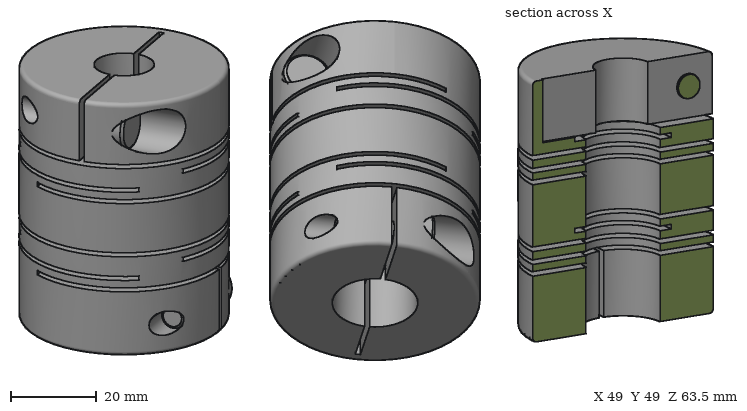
import cadquery as cq

HEIGHT = 63.5
OUTER_DIAMETER = 49.0
OUTER_RADIUS = OUTER_DIAMETER / 2
RIM_FILLET = 1.1

UPPER_BORE_DIAMETER = 14.05
LOWER_BORE_DIAMETER = 19.95

SLIT_HEIGHT = 1.0
SLIT_END_OFFSET = 12.95
FIRST_SLIT_Z = 47.75
OPPOSED_SLIT_PITCH = 2.85
SLIT_PAIR_PITCH = 6.0
SLIT_GROUP_PITCH = 22.2
GROUP_COUNT = 2
SLIT_BOX_SIZE = 2 * OUTER_DIAMETER

CLAMP_SLOT_WIDTH = 1.2
CLAMP_SLOT_END = 21.6
SCREW_OFFSET = 17.9
SCREW_END_DISTANCE = 7.5
SHANK_RADIUS = 3.0
TIP_CHAMFER = 0.65
TIP_POSITION = -12.7
HEAD_RADIUS = 5.5
HEAD_LENGTH = 6.0
HEAD_TOP_POSITION = 9.9
HEAD_CHAMFER = 0.65

last_slit_z = (
    FIRST_SLIT_Z
    - (GROUP_COUNT - 1) * SLIT_GROUP_PITCH
    - SLIT_PAIR_PITCH
    - OPPOSED_SLIT_PITCH
)
upper_hub_bottom = FIRST_SLIT_Z + SLIT_HEIGHT / 2
lower_hub_top = last_slit_z - SLIT_HEIGHT / 2
head_seat_x = HEAD_TOP_POSITION - HEAD_LENGTH


def body():
    """Rounded cylinder with a small upper bore and a larger bore below it."""
    cylinder = cq.Workplane("XY").circle(OUTER_RADIUS).extrude(HEIGHT).edges().fillet(RIM_FILLET)
    upper_bore = cq.Workplane("XY").circle(UPPER_BORE_DIAMETER / 2).extrude(HEIGHT)
    lower_bore = cq.Workplane("XY").circle(LOWER_BORE_DIAMETER / 2).extrude(upper_hub_bottom)
    return cylinder.cut(upper_bore).cut(lower_bore)


def slit(z, open_angle):
    """Slit open toward open_angle, ending in a flat on the far side of the axis."""
    return (
        cq.Workplane("XY")
        .box(SLIT_BOX_SIZE, SLIT_BOX_SIZE, SLIT_HEIGHT, centered=(False, True, True))
        .translate((-SLIT_END_OFFSET, 0, z))
        .rotate((0, 0, 0), (0, 0, 1), open_angle)
    )


def slit_group(top_z):
    """Slits open toward -Y, +Y, -X and +X, from the top down."""
    second_pair_z = top_z - SLIT_PAIR_PITCH
    return [
        slit(top_z, -90),
        slit(top_z - OPPOSED_SLIT_PITCH, 90),
        slit(second_pair_z, 180),
        slit(second_pair_z - OPPOSED_SLIT_PITCH, 0),
    ]


def clamp_slot(bottom_z, top_z):
    """Radial slot open toward -Y, splitting the hub across its bore."""
    length = CLAMP_SLOT_END + OUTER_DIAMETER
    return (
        cq.Workplane("XY")
        .box(CLAMP_SLOT_WIDTH, length, top_z - bottom_z, centered=(True, False, False))
        .translate((0, CLAMP_SLOT_END - length, bottom_z))
    )


def rod(radius, start_x, end_x, z):
    """Cylinder along X on the screw axis."""
    return (
        cq.Workplane("YZ", origin=(start_x, -SCREW_OFFSET, z))
        .circle(radius)
        .extrude(end_x - start_x)
    )


def screw_clearance(z):
    """Open hole beyond the screw tip and counterbore beyond the seat of the head."""
    tip_hole = rod(SHANK_RADIUS, -OUTER_RADIUS, head_seat_x, z)
    counterbore = rod(HEAD_RADIUS, head_seat_x, OUTER_RADIUS, z)
    return tip_hole.union(counterbore)


def screw(z):
    """Cap screw along X with a chamfered tip and head."""
    shank = rod(SHANK_RADIUS, TIP_POSITION, head_seat_x, z).faces("<X").chamfer(TIP_CHAMFER)
    head = rod(HEAD_RADIUS, head_seat_x, HEAD_TOP_POSITION, z).faces(">X").chamfer(HEAD_CHAMFER)
    return shank.union(head)


def clamp(hub, z, slot_bottom, slot_top, angle):
    """Add a clamp slot and its screw, turned by angle about the coupling axis."""
    axis = ((0, 0, 0), (0, 0, 1), angle)
    return (
        hub.cut(clamp_slot(slot_bottom, slot_top).rotate(*axis))
        .cut(screw_clearance(z).rotate(*axis))
        .union(screw(z).rotate(*axis))
    )


result = body()
for group in range(GROUP_COUNT):
    for cutter in slit_group(FIRST_SLIT_Z - group * SLIT_GROUP_PITCH):
        result = result.cut(cutter)
result = clamp(result, HEIGHT - SCREW_END_DISTANCE, upper_hub_bottom, HEIGHT, 0)
result = clamp(result, SCREW_END_DISTANCE, 0, lower_hub_top, 90)